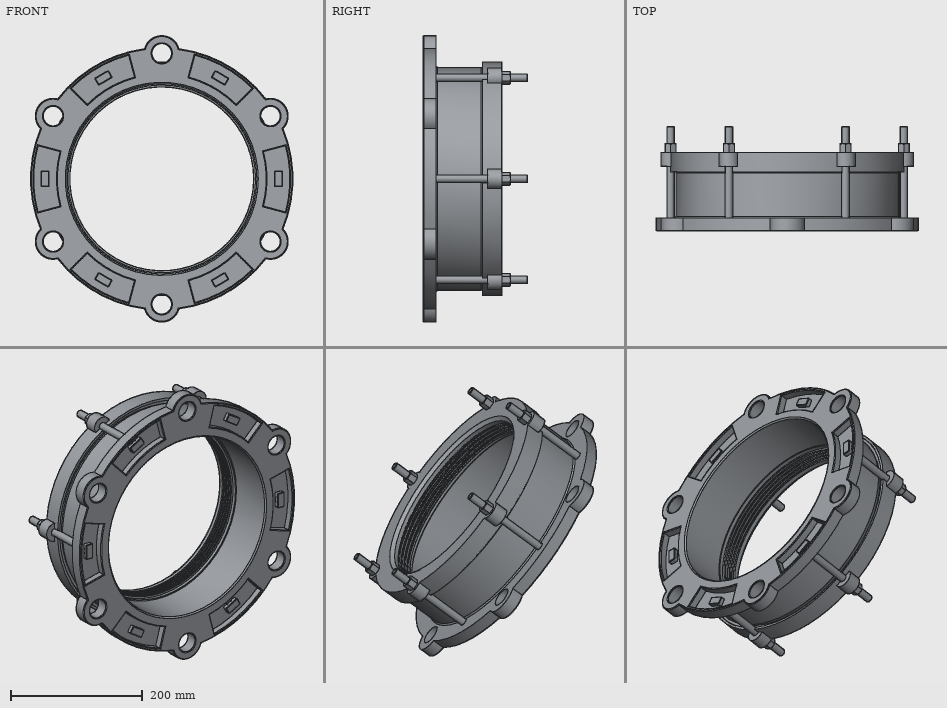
import cadquery as cq
import math

COUNT = 6
STEP_ANGLE = 360 / COUNT
BOLT_ANGLES = [i * STEP_ANGLE for i in range(COUNT)]
FLANGE_LUG_ANGLES = [angle + STEP_ANGLE / 2 for angle in BOLT_ANGLES]

OVERALL_HEIGHT = 435.0
OVERALL_DEPTH = 159.0

FLANGE_RADIUS = 199.5
FLANGE_THICKNESS = 20.0
FRONT_CHAMFER = 1.5
FLANGE_LUG_RADIUS = 27.0
FLANGE_LUG_CENTER = OVERALL_HEIGHT / 2 - FLANGE_LUG_RADIUS
FLANGE_HOLE_DIAMETER = 29.5

POCKET_INNER_RADIUS = 317.0 / 2 + FRONT_CHAMFER
POCKET_OUTER_RADIUS = 194.5
POCKET_HALF_ANGLE = 15
POCKET_DEPTH = 12.0

SLEEVE_RADIUS = 339.0 / 2
SLEEVE_ROOT_CHAMFER = 2.0
SLEEVE_END_TAPER = 2.0
SLEEVE_END_TAPER_LENGTH = 6.0

GLAND_RADIUS = 177.5
GLAND_REAR = 119.5
GLAND_LENGTH = 29.5
GLAND_FRONT = GLAND_REAR - GLAND_LENGTH
GLAND_LUG_DIAMETER = 29.5
GLAND_LUG_LENGTH = 21.5
RECESS_RADIUS = 173.5
RECESS_DEPTH = 4.5

BORE_RADIUS = 289.0 / 2
BORE_CHAMFER = 2.0
SEAL_RADIUS = 285.0 / 2
LIP_RADIUS = 279.0 / 2
LIP_FRONT = 107.5
LIP_CHAMFER = 5.2
RIB_COUNT = 4
RIB_PITCH = 6.0
RIB_WIDTH = RIB_PITCH / 2
SEAL_FRONT = LIP_FRONT - (RIB_COUNT + 1) * RIB_PITCH

BOLT_CIRCLE_RADIUS = 177.0
BOLT_DIAMETER = 11.7
BOLT_TIP_DIAMETER = 10.0
BOLT_TIP_CHAMFER = (BOLT_DIAMETER - BOLT_TIP_DIAMETER) / 2
BOLT_HOLE_DIAMETER = 12.0
HEAD_WIDTH = 12.0
HEAD_LENGTH = 24.0
HEAD_HEIGHT = 7.0
HEAD_CORNER_RADIUS = 1.7
HEAD_CHAMFER = 1.0
NUT_ACROSS_FLATS = 17.0
NUT_ACROSS_CORNERS = NUT_ACROSS_FLATS / math.cos(math.radians(30))
NUT_HEIGHT = 13.0
NUT_CHAMFER = 1.1


def face_at(y):
    """Workplane across the axis at Y = y; its normal is -Y, so extrude(-d) goes toward +Y."""
    return cq.Workplane("XZ", origin=(0, y, 0))


def polar(radius, angle):
    """Point in the XZ plane, with the angle in degrees from +X toward +Z."""
    return (radius * math.cos(math.radians(angle)), radius * math.sin(math.radians(angle)))


def cylinders(diameter, radius, angles, start, end):
    """Equal round bars parallel to the axis, from Y = start to Y = end."""
    points = [polar(radius, angle) for angle in angles]
    return face_at(start).pushPoints(points).circle(diameter / 2).extrude(start - end)


def ring(inner_radius, outer_radius, start, end):
    """Plain ring about the axis from Y = start to Y = end."""
    return face_at(start).circle(outer_radius).circle(inner_radius).extrude(start - end)


def make_flange():
    """Disc with drilled lugs and bolt pockets, all chamfered along the front face."""
    disc = face_at(0).circle(FLANGE_RADIUS).extrude(-FLANGE_THICKNESS)
    lugs = cylinders(2 * FLANGE_LUG_RADIUS, FLANGE_LUG_CENTER, FLANGE_LUG_ANGLES, 0, FLANGE_THICKNESS)
    holes = cylinders(FLANGE_HOLE_DIAMETER, FLANGE_LUG_CENTER, FLANGE_LUG_ANGLES, 0, FLANGE_THICKNESS)
    disc = disc.faces("<Y").chamfer(FRONT_CHAMFER)
    lugs = lugs.faces("<Y").chamfer(FRONT_CHAMFER)
    flange = disc.union(lugs).cut(holes)
    for angle in BOLT_ANGLES:
        flange = flange.cut(make_pocket(angle))
    opening_wires = flange.faces("<Y").val().innerWires()
    opening_edges = [edge for wire in opening_wires for edge in wire.Edges()]
    return flange.newObject(opening_edges).chamfer(FRONT_CHAMFER)


def make_pocket(angle):
    """Ring sector centred on the given angle, cut into the flange face."""
    first = angle - POCKET_HALF_ANGLE
    last = angle + POCKET_HALF_ANGLE
    return (
        face_at(0)
        .moveTo(*polar(POCKET_INNER_RADIUS, first))
        .lineTo(*polar(POCKET_OUTER_RADIUS, first))
        .threePointArc(polar(POCKET_OUTER_RADIUS, angle), polar(POCKET_OUTER_RADIUS, last))
        .lineTo(*polar(POCKET_INNER_RADIUS, last))
        .threePointArc(polar(POCKET_INNER_RADIUS, angle), polar(POCKET_INNER_RADIUS, first))
        .close()
        .extrude(-POCKET_DEPTH)
    )


def make_sleeve_and_gland():
    """Sleeve and gland ring: flared at the flange, tapering into a ring recess in the gland face."""
    recess_floor = GLAND_FRONT + RECESS_DEPTH
    outline = [
        (0, FLANGE_THICKNESS),
        (SLEEVE_RADIUS + SLEEVE_ROOT_CHAMFER, FLANGE_THICKNESS),
        (SLEEVE_RADIUS, FLANGE_THICKNESS + SLEEVE_ROOT_CHAMFER),
        (SLEEVE_RADIUS, recess_floor - SLEEVE_END_TAPER_LENGTH),
        (SLEEVE_RADIUS - SLEEVE_END_TAPER, recess_floor),
        (RECESS_RADIUS, recess_floor),
        (RECESS_RADIUS, GLAND_FRONT),
        (GLAND_RADIUS, GLAND_FRONT),
        (GLAND_RADIUS, GLAND_REAR),
        (0, GLAND_REAR),
    ]
    return cq.Workplane("XY").polyline(outline).close().revolve(360, (0, 0), (0, 1))


def make_gland_lugs():
    """Bolt lugs on the outside of the gland ring, flush with its rear face."""
    return cylinders(
        GLAND_LUG_DIAMETER, BOLT_CIRCLE_RADIUS, BOLT_ANGLES, GLAND_REAR - GLAND_LUG_LENGTH, GLAND_REAR
    )


def make_bore():
    """Space inside the sleeve, stepped down at the rear lip and chamfered at the flange face."""
    outline = [
        (0, 0),
        (BORE_RADIUS + BORE_CHAMFER, 0),
        (BORE_RADIUS, BORE_CHAMFER),
        (BORE_RADIUS, SEAL_FRONT),
        (SEAL_RADIUS, SEAL_FRONT),
        (SEAL_RADIUS, LIP_FRONT),
        (LIP_RADIUS, LIP_FRONT),
        (LIP_RADIUS, GLAND_REAR - LIP_CHAMFER),
        (LIP_RADIUS + LIP_CHAMFER, GLAND_REAR),
        (0, GLAND_REAR),
    ]
    return cq.Workplane("XY").polyline(outline).close().revolve(360, (0, 0), (0, 1))


def make_housing():
    """Flange, sleeve, gland ring and sealing ribs in one piece, drilled for the bolts."""
    housing = make_flange().union(make_sleeve_and_gland()).union(make_gland_lugs()).cut(make_bore())
    for i in range(RIB_COUNT):
        rib_start = SEAL_FRONT + (i + 1) * RIB_PITCH
        housing = housing.union(ring(LIP_RADIUS, BORE_RADIUS, rib_start, rib_start + RIB_WIDTH))
    return housing.cut(cylinders(BOLT_HOLE_DIAMETER, BOLT_CIRCLE_RADIUS, BOLT_ANGLES, 0, GLAND_REAR))


def make_bolt(angle):
    """Head on the pocket floor, shank through flange and gland, nut against the gland lug."""
    head = (
        face_at(POCKET_DEPTH)
        .rect(HEAD_WIDTH, HEAD_LENGTH)
        .extrude(HEAD_HEIGHT)
        .edges("|Y")
        .fillet(HEAD_CORNER_RADIUS)
        .faces("<Y")
        .chamfer(HEAD_CHAMFER)
    )
    shank = (
        face_at(POCKET_DEPTH)
        .circle(BOLT_DIAMETER / 2)
        .extrude(POCKET_DEPTH - OVERALL_DEPTH)
        .faces(">Y")
        .chamfer(BOLT_TIP_CHAMFER)
    )
    nut_cone = (
        face_at(GLAND_REAR)
        .circle(NUT_ACROSS_CORNERS / 2)
        .extrude(-NUT_HEIGHT)
        .faces(">Y")
        .chamfer(NUT_CHAMFER)
    )
    nut = (
        face_at(GLAND_REAR)
        .transformed(rotate=(0, 0, 30))
        .polygon(6, NUT_ACROSS_CORNERS)
        .extrude(-NUT_HEIGHT)
        .intersect(nut_cone)
    )
    bolt = head.union(shank).union(nut).translate((BOLT_CIRCLE_RADIUS, 0, 0))
    return bolt.rotate((0, 0, 0), (0, 1, 0), -angle)


housing = make_housing()
bolts = [make_bolt(angle) for angle in BOLT_ANGLES]
result = cq.Compound.makeCompound([housing.val(), *[bolt.val() for bolt in bolts]])